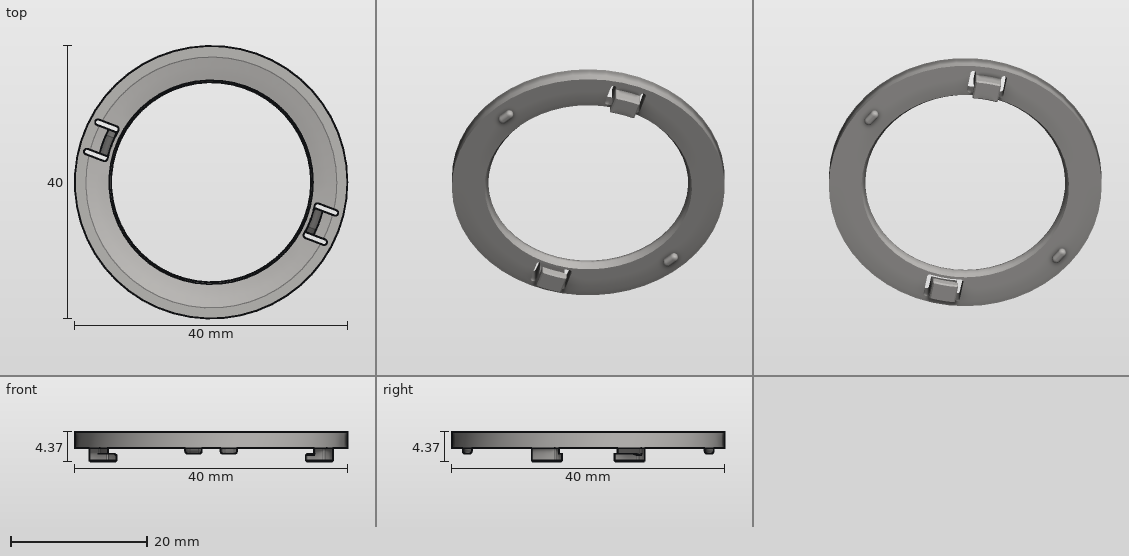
import cadquery as cq
import math

outer_diameter = 40.01
outer_radius = outer_diameter / 2
ring_thickness = 2.4
total_height = 4.37
rim_inner_radius = 18.4
dish_inner_radius = 14.95
dish_depth = 0.63
lip_radius = 14.8
lip_depth = 0.83
bore_radius = 14.65
bore_top_depth = 1.2
bore_bottom_depth = 1.46
flare_radius = 15.2

hook_angles = (-20.9, 159.1)
hook_width = 3.8
hook_outer_radius = 18.56
stem_inner_radius = 16.9
foot_inner_radius = 15.6
foot_top_depth = ring_thickness + 0.8
hook_corner_radius = 0.2
hook_bottom_chamfer = 0.2
ramp_length = 0.9
ramp_drop = 0.27

slot_width = 0.8
slot_outer_reach = 19.03
slot_offset = (hook_width + slot_width) / 2

pad_angles = (98.3, 278.3)
pad_center_radius = 17.92
pad_length = 2.5
pad_width = 1.2
pad_height = 0.85
pad_edge_radius = 0.5

overlap = 0.3


def make_ring():
    """Revolve the ring section with its dished top and waisted bore."""
    section = [
        (outer_radius, 0),
        (rim_inner_radius, 0),
        (dish_inner_radius, -dish_depth),
        (lip_radius, -lip_depth),
        (bore_radius, -bore_top_depth),
        (bore_radius, -bore_bottom_depth),
        (flare_radius, -ring_thickness),
        (outer_radius, -ring_thickness),
    ]
    return cq.Workplane("XZ").polyline(section).close().revolve(360, (0, 0), (0, 1))


def arc_block(near_radius, far_radius, width, bottom, top):
    """Block across +X with straight sides and faces concentric with the ring."""
    half = width / 2
    inner_x = math.sqrt(near_radius**2 - half**2)
    outer_x = math.sqrt(far_radius**2 - half**2)
    return (
        cq.Workplane("XY", origin=(0, 0, bottom))
        .moveTo(inner_x, -half)
        .lineTo(outer_x, -half)
        .threePointArc((far_radius, 0), (outer_x, half))
        .lineTo(inner_x, half)
        .threePointArc((near_radius, 0), (inner_x, -half))
        .close()
        .extrude(top - bottom)
    )


def make_window():
    """Tool for the gap inside the stem and the round-ended slots beside it."""
    window = arc_block(foot_inner_radius, stem_inner_radius, 2 * slot_offset, -ring_thickness, 0)
    slot_inner_reach = math.sqrt(foot_inner_radius**2 - slot_offset**2)
    slot_length = slot_outer_reach - slot_inner_reach
    slot_middle = (slot_outer_reach + slot_inner_reach) / 2
    for side in (-1, 1):
        slot = (
            cq.Workplane("XY", origin=(slot_middle, side * slot_offset, -ring_thickness))
            .slot2D(slot_length, slot_width)
            .extrude(ring_thickness)
        )
        window = window.union(slot)
    return window


def make_hook():
    """Stem with an inward foot whose top slopes down at the leading end."""
    stem_bottom = -foot_top_depth - ramp_drop - overlap
    stem_top = overlap - ring_thickness
    stem = (
        arc_block(stem_inner_radius, hook_outer_radius, hook_width, stem_bottom, stem_top)
        .edges("|Z")
        .fillet(hook_corner_radius)
    )
    foot = (
        arc_block(foot_inner_radius, hook_outer_radius, hook_width, -total_height, -foot_top_depth)
        .edges("|Z")
        .fillet(hook_corner_radius)
        .faces("<Z")
        .chamfer(hook_bottom_chamfer)
    )
    lead_end = -hook_width / 2
    ramp_start = math.sqrt(foot_inner_radius**2 - lead_end**2) - overlap
    ramp_cut = (
        cq.Workplane("YZ", origin=(ramp_start, 0, 0))
        .moveTo(lead_end, -foot_top_depth)
        .lineTo(lead_end + ramp_length, -foot_top_depth)
        .lineTo(lead_end, -foot_top_depth - ramp_drop)
        .close()
        .extrude(stem_inner_radius - ramp_start)
    )
    return foot.cut(ramp_cut).union(stem)


def make_pad():
    """Round-ended pad along the rim with a rounded lower edge."""
    return (
        cq.Workplane("XY", origin=(pad_center_radius, 0, -ring_thickness - pad_height))
        .slot2D(pad_length, pad_width, 90)
        .extrude(pad_height + overlap)
        .faces("<Z")
        .edges()
        .fillet(pad_edge_radius)
    )


def turned(body, angle):
    """Turn a body about the ring axis."""
    return body.rotate((0, 0, 0), (0, 0, 1), angle)


result = make_ring()
for hook_angle in hook_angles:
    result = result.cut(turned(make_window(), hook_angle))
    result = result.union(turned(make_hook(), hook_angle))
for pad_angle in pad_angles:
    result = result.union(turned(make_pad(), pad_angle))